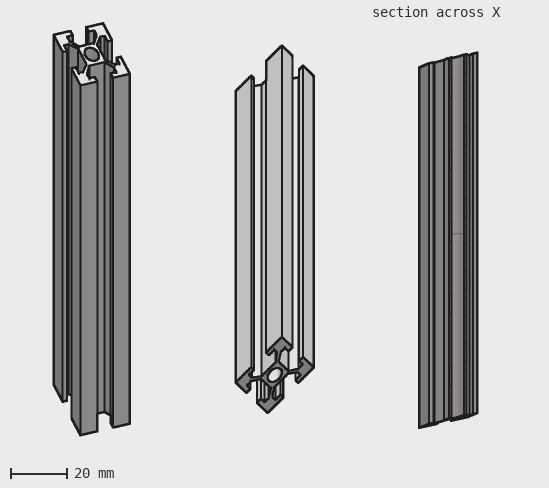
import cadquery as cq
import math

side = 20.0
overall_height = 149.2
miter_angle = 30
bore_diameter = 5.0

slot_opening = 6.4
slot_floor_width = 6.1
lip_thickness = 1.8
pocket_width = 10.9
pocket_wall_depth = 3.6
core_width = 7.6

half_side = side / 2
half_height = overall_height / 2
miter_drop = side * math.tan(math.radians(miter_angle))


def make_mitred_bar():
    """Square bar whose ends slope down towards +X."""
    outline = [
        (-half_side, half_height),
        (half_side, half_height - miter_drop),
        (half_side, -half_height),
        (-half_side, -half_height + miter_drop),
    ]
    return cq.Workplane("XZ").polyline(outline).close().extrude(half_side, both=True)


def make_slot():
    """Cutter for the slot open towards +Y, undercut behind the lips."""
    half_opening = slot_opening / 2
    half_floor = slot_floor_width / 2
    half_pocket = pocket_width / 2
    lip_y = half_side - lip_thickness
    slope_y = half_side - pocket_wall_depth
    floor_y = core_width / 2
    right_edge = [
        (half_opening, half_side),
        (half_opening, lip_y),
        (half_pocket, lip_y),
        (half_pocket, slope_y),
        (half_floor, floor_y),
    ]
    left_edge = [(-x, y) for x, y in reversed(right_edge)]
    profile = cq.Workplane("XY").polyline(right_edge + left_edge).close()
    return profile.extrude(half_height, both=True)


result = make_mitred_bar()
slot = make_slot()
for angle in (0, 90, 180, 270):
    result = result.cut(slot.rotate((0, 0, 0), (0, 0, 1), angle))

bore = cq.Workplane("XY").circle(bore_diameter / 2).extrude(half_height, both=True)
result = result.cut(bore)